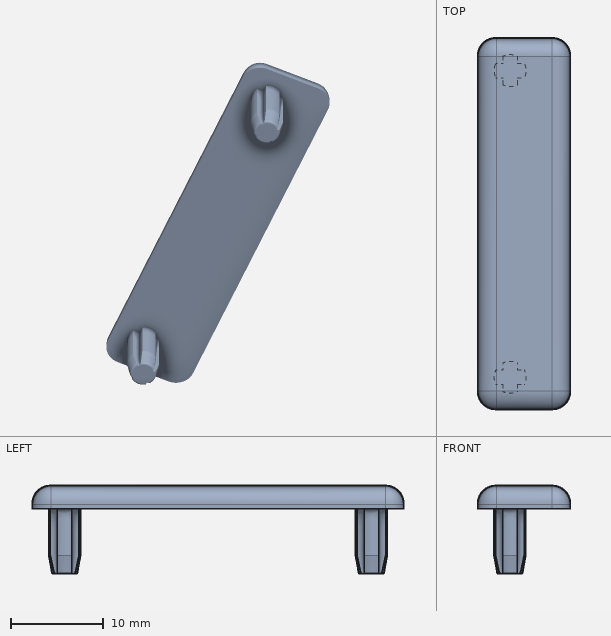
import cadquery as cq

plate_width = 10.0
plate_length = 40.0
edge_radius = 2.0
lip_height = 0.5
plate_height = lip_height + edge_radius

peg_diameter = 3.45
peg_length = 7.0
peg_tip_diameter = 2.7
taper_length = 2.0
tip_fillet = 0.25
arm_width = 1.55
peg_x = -1.5
peg_spacing = 33.0


def make_plate():
    """Plate with its underside at Z = 0, rounded corners and a rounded top edge."""
    block = cq.Workplane("XY").box(plate_width, plate_length, plate_height, centered=(True, True, False))
    return block.edges("|Z").fillet(edge_radius).faces(">Z").edges().fillet(edge_radius)


def make_peg():
    """Round tapered pin reduced to a cross by four corner notches."""
    radius = peg_diameter / 2
    pin = (
        cq.Workplane("XZ")
        .moveTo(0, 0)
        .lineTo(radius, 0)
        .lineTo(radius, taper_length - peg_length)
        .lineTo(peg_tip_diameter / 2, -peg_length)
        .lineTo(0, -peg_length)
        .close()
        .revolve(360, (0, 0), (0, 1))
        .faces("<Z")
        .edges()
        .fillet(tip_fillet)
    )
    base = cq.Workplane("XY")
    arm_along_x = base.rect(peg_diameter, arm_width).extrude(-peg_length)
    arm_along_y = base.rect(arm_width, peg_diameter).extrude(-peg_length)
    return pin.intersect(arm_along_x.union(arm_along_y))


result = make_plate()
peg = make_peg()
for side in (-1, 1):
    result = result.union(peg.translate((peg_x, side * peg_spacing / 2, 0)))